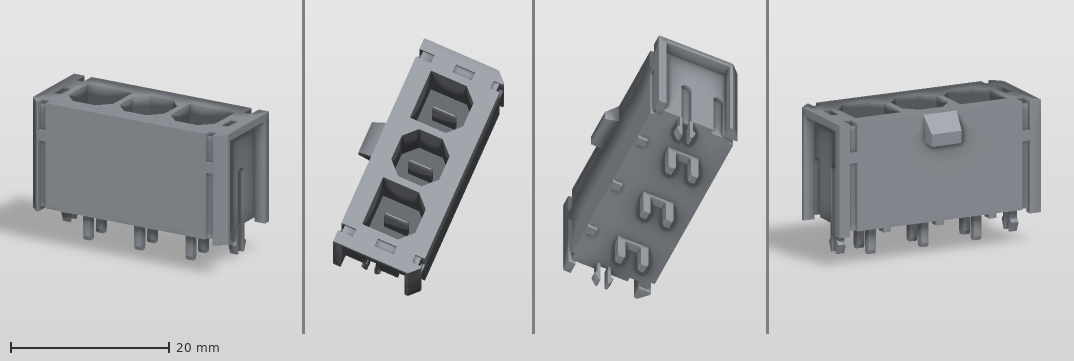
import cadquery as cq


LENGTH = 28.57
DEPTH = 11.55
HEIGHT = 14.7
FLOOR_Z = 0.6
CORNER_CHAMFER = 1.23

RECESS_DEPTH = 1.5
FRONT_FOOT = 1.69
REAR_FOOT = 1.03
RECESS_TOP = HEIGHT - 0.97

GROOVE_WIDTH = 1.4
GROOVE_DEPTH = 0.6
GROOVE_TOP = HEIGHT - 6.49
GROOVE_YS = (2.57, 7.0)

SLOT_WIDTH = 1.05
SLOT_X = LENGTH / 2 - RECESS_DEPTH - SLOT_WIDTH / 2
SLOT_DEPTH = 0.5
SLOT_DROP = 3.8
LOWER_SLOT_TOP = HEIGHT - 5.17
FRONT_SLOT_REACH = 1.29
REAR_SLOT_REACH = 2.05
MIDDLE_SLOT_LENGTH = 2.6
MIDDLE_SLOT_Y = 5.17

STANDOFF_WIDTH = 1.03
STANDOFF_DEPTH = 1.3

PITCH = 7.49
CONTACT_SHIFT = -0.03
CAVITY_Y = 5.77
CAVITY_WIDTH = 6.6
CAVITY_CHAMFER = 1.65
CAVITY_FLOOR = 2.57

BLADE_THICKNESS = 0.5
BLADE_WIDTH = 3.2
BLADE_Y = 5.77
BLADE_TOP = HEIGHT - 4.57
BLADE_TIP_HEIGHT = 0.63
BLADE_TIP_THICKNESS = 0.15
BLADE_TIP_WIDTH = 2.9
PIN_THICKNESS = 1.03
PIN_WIDTH = 1.03
PIN_YS = (3.63, 6.8)
PIN_BOTTOM = -3.85
PIN_TIP_HEIGHT = 0.5
PIN_TIP_INSET = 0.17

CLIP_Y = 7.03
CLIP_GAP = 1.03
CLIP_LEG_WIDTH = 0.4
CLIP_BARB = 0.4
CLIP_BOTTOM = -3.1
BARB_TOP = -1.4
BARB_TIP = -1.83
CLIP_TIP_WIDTH = 0.3

LATCH_REACH = 1.85
LATCH_ROOT_WIDTH = 4.7
LATCH_TIP_WIDTH = 4.23
LATCH_LIP_TOP = HEIGHT - 2.17
LATCH_LIP_BOTTOM = HEIGHT - 3.77
LATCH_ROOT_BOTTOM = HEIGHT - 3.43

OVERLAP = 0.29


def block(x0, x1, y0, y1, z0, z1):
    """Box between two opposite corners."""
    return cq.Workplane("XY").box(x1 - x0, y1 - y0, z1 - z0, centered=False).translate((x0, y0, z0))


def mirrored(shape):
    """The shape together with its copy at the opposite end of the row."""
    return shape.union(shape.mirror("YZ"))


def side_profile(points, x_middle, width):
    """Extrude a (Y, Z) outline along X, centred on x_middle."""
    profile = cq.Workplane("YZ").polyline(points).close()
    return profile.extrude(width / 2, both=True).translate((x_middle, 0, 0))


def make_housing():
    half = LENGTH / 2
    housing = block(-half, half, 0, DEPTH, FLOOR_Z, HEIGHT)
    recess_x = half - RECESS_DEPTH
    feet = block(recess_x, half, 0, FRONT_FOOT, 0, HEIGHT)
    feet = feet.union(block(recess_x, half, DEPTH - REAR_FOOT, DEPTH, 0, HEIGHT))
    housing = housing.union(mirrored(feet))
    return housing.edges("|Z and <Y and (<X or >X)").chamfer(CORNER_CHAMFER)


def end_recess():
    recess_x = LENGTH / 2 - RECESS_DEPTH
    recess = block(recess_x, LENGTH / 2, FRONT_FOOT, DEPTH - REAR_FOOT, 0, RECESS_TOP)
    radius = GROOVE_WIDTH / 2
    arc_z = GROOVE_TOP - radius
    for y in GROOVE_YS:
        groove = (
            cq.Workplane("YZ", origin=(recess_x - GROOVE_DEPTH, 0, 0))
            .moveTo(y - radius, 0)
            .lineTo(y - radius, arc_z)
            .threePointArc((y, GROOVE_TOP), (y + radius, arc_z))
            .lineTo(y + radius, 0)
            .close()
            .extrude(GROOVE_DEPTH)
        )
        recess = recess.union(groove)
    return recess


def clip_slots():
    x0 = SLOT_X - SLOT_WIDTH / 2
    x1 = SLOT_X + SLOT_WIDTH / 2
    shallow_z = HEIGHT - SLOT_DEPTH
    drop_z = HEIGHT - SLOT_DROP
    middle_y0 = MIDDLE_SLOT_Y - MIDDLE_SLOT_LENGTH / 2
    slots = block(x0, x1, middle_y0, middle_y0 + MIDDLE_SLOT_LENGTH, shallow_z, HEIGHT)
    walls = (
        (0, SLOT_DEPTH, 0, FRONT_SLOT_REACH),
        (DEPTH - SLOT_DEPTH, DEPTH, DEPTH - REAR_SLOT_REACH, DEPTH),
    )
    for wall_y0, wall_y1, top_y0, top_y1 in walls:
        slots = slots.union(block(x0, x1, top_y0, top_y1, shallow_z, HEIGHT))
        slots = slots.union(block(x0, x1, wall_y0, wall_y1, drop_z, HEIGHT))
        slots = slots.union(block(x0, x1, wall_y0, wall_y1, 0, LOWER_SLOT_TOP))
    return slots


def cavity(x, chamfered_edges):
    half = CAVITY_WIDTH / 2
    pocket = block(x - half, x + half, CAVITY_Y - half, CAVITY_Y + half, CAVITY_FLOOR, HEIGHT)
    return pocket.edges(chamfered_edges).chamfer(CAVITY_CHAMFER)


def standoff(x):
    half = STANDOFF_WIDTH / 2
    return block(x - half, x + half, DEPTH - STANDOFF_DEPTH, DEPTH, 0, FLOOR_Z + OVERLAP)


def pin(x, y):
    half = PIN_WIDTH / 2
    tip_half = half - PIN_TIP_INSET
    tip_top = PIN_BOTTOM + PIN_TIP_HEIGHT
    outline = [
        (y - half, FLOOR_Z + OVERLAP),
        (y - half, tip_top),
        (y - tip_half, PIN_BOTTOM),
        (y + tip_half, PIN_BOTTOM),
        (y + half, tip_top),
        (y + half, FLOOR_Z + OVERLAP),
    ]
    return side_profile(outline, x, PIN_THICKNESS)


def contact(x):
    tip_base = BLADE_TOP - BLADE_TIP_HEIGHT
    half_thickness = BLADE_THICKNESS / 2
    half_width = BLADE_WIDTH / 2
    blade = block(x - half_thickness, x + half_thickness, BLADE_Y - half_width, BLADE_Y + half_width,
                  CAVITY_FLOOR - OVERLAP, tip_base)
    tip = (
        cq.Workplane("XY", origin=(x, BLADE_Y, tip_base))
        .rect(BLADE_THICKNESS, BLADE_WIDTH)
        .workplane(offset=BLADE_TIP_HEIGHT)
        .rect(BLADE_TIP_THICKNESS, BLADE_TIP_WIDTH)
        .loft()
    )
    shoulder = block(x - PIN_THICKNESS / 2, x + PIN_THICKNESS / 2, PIN_YS[0], PIN_YS[1],
                     0, FLOOR_Z + OVERLAP)
    solid = blade.union(tip).union(shoulder)
    for y in PIN_YS:
        solid = solid.union(pin(x, y))
    return solid


def clip_legs():
    """The two barbed legs of one board clip, springing from the housing underside."""
    legs = cq.Workplane("XY")
    for side in (-1, 1):
        inner = CLIP_GAP / 2
        outer = inner + CLIP_LEG_WIDTH
        outline = [
            (inner, FLOOR_Z),
            (outer, FLOOR_Z),
            (outer, BARB_TOP),
            (outer + CLIP_BARB, BARB_TIP),
            (inner + CLIP_TIP_WIDTH, CLIP_BOTTOM),
            (inner, CLIP_BOTTOM),
        ]
        points = [(CLIP_Y + side * offset, z) for offset, z in outline]
        legs = legs.union(side_profile(points, SLOT_X, SLOT_WIDTH))
    return legs


def latch():
    outline = [
        (DEPTH - OVERLAP, HEIGHT),
        (DEPTH, HEIGHT),
        (DEPTH + LATCH_REACH, LATCH_LIP_TOP),
        (DEPTH + LATCH_REACH, LATCH_LIP_BOTTOM),
        (DEPTH, LATCH_ROOT_BOTTOM),
        (DEPTH - OVERLAP, LATCH_ROOT_BOTTOM),
    ]
    ramp = side_profile(outline, 0, LATCH_ROOT_WIDTH)
    root = LATCH_ROOT_WIDTH / 2
    tip = LATCH_TIP_WIDTH / 2
    plan = [
        (-root, DEPTH - OVERLAP),
        (-root, DEPTH),
        (-tip, DEPTH + LATCH_REACH),
        (tip, DEPTH + LATCH_REACH),
        (root, DEPTH),
        (root, DEPTH - OVERLAP),
    ]
    return ramp.intersect(cq.Workplane("XY").polyline(plan).close().extrude(HEIGHT))


result = make_housing().union(latch())
result = result.cut(mirrored(end_recess()))
result = result.cut(mirrored(clip_slots()))

cavity_edges = {-PITCH: "|Z and <Y", 0: "|Z", PITCH: "|Z and <Y"}
for cavity_x, edges in cavity_edges.items():
    contact_x = cavity_x + CONTACT_SHIFT
    result = result.cut(cavity(cavity_x, edges))
    result = result.union(contact(contact_x)).union(standoff(contact_x))

result = result.union(mirrored(clip_legs()))